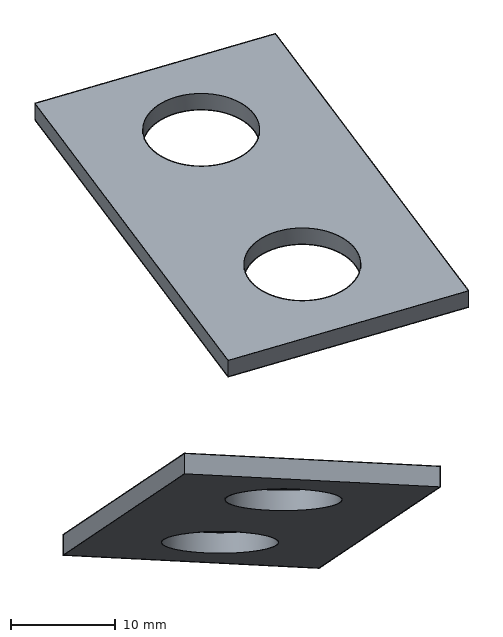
import cadquery as cq

length = 43.7
width = 25.4
thickness = 2.0

hole_diameter = 11.2
hole_spacing = 22.85

plate = cq.Workplane("XY").box(length, width, thickness)

result = (
    plate.faces(">Z")
    .workplane()
    .pushPoints([(-hole_spacing / 2, 0), (hole_spacing / 2, 0)])
    .hole(hole_diameter)
)